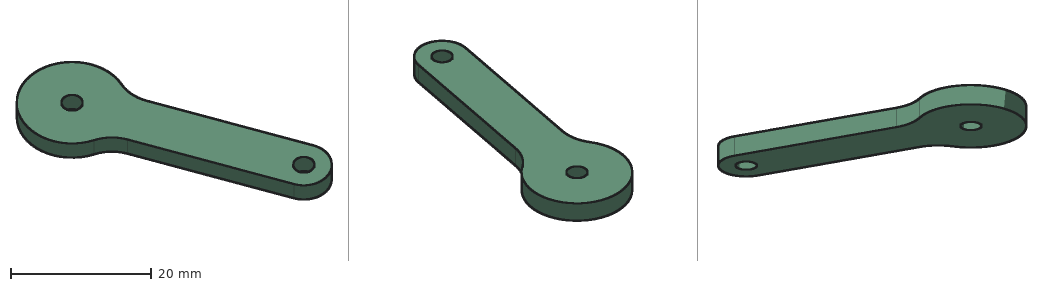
import cadquery as cq
import math

total_length = 47.1
thickness = 3.0
disc_radius = 7.9
arm_width = 8.0
hole_diameter = 3.0
neck_radius = 6.5

tip_radius = arm_width / 2
tip_x = total_length - disc_radius - tip_radius

neck_y = tip_radius + neck_radius
neck_x = math.sqrt((disc_radius + neck_radius) ** 2 - neck_y**2)
disc_share = disc_radius / (disc_radius + neck_radius)
join_x = neck_x * disc_share
join_y = neck_y * disc_share

disc_direction = math.atan2(-neck_y, -neck_x)
arm_direction = -math.pi / 2
middle_direction = (disc_direction + arm_direction) / 2
middle_x = neck_x + neck_radius * math.cos(middle_direction)
middle_y = neck_y + neck_radius * math.sin(middle_direction)

lever = (
    cq.Workplane("XY")
    .moveTo(neck_x, -tip_radius)
    .lineTo(tip_x, -tip_radius)
    .threePointArc((tip_x + tip_radius, 0), (tip_x, tip_radius))
    .lineTo(neck_x, tip_radius)
    .threePointArc((middle_x, middle_y), (join_x, join_y))
    .threePointArc((-disc_radius, 0), (join_x, -join_y))
    .threePointArc((middle_x, -middle_y), (neck_x, -tip_radius))
    .close()
    .extrude(thickness)
)

result = (
    lever.faces(">Z")
    .workplane(origin=(0, 0, thickness))
    .pushPoints([(0, 0), (tip_x, 0)])
    .hole(hole_diameter)
)